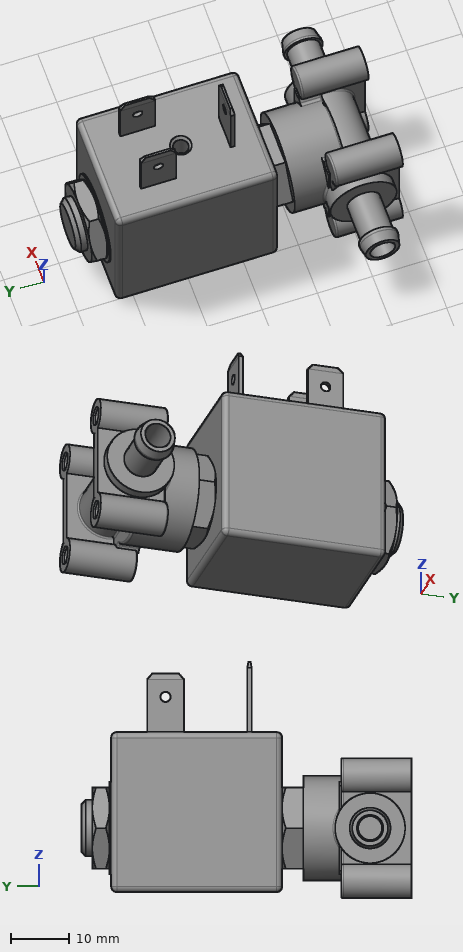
import cadquery as cq
import math

FRONT_Y = -7.15
TOTAL_LENGTH = 56.65
BACK_Y = FRONT_Y + TOTAL_LENGTH

BOSS_R = 3.0
BOSS_PITCH = 18.0
BOSS_BACK_Y = 5.0
WEB_WIDTH = 2.15
TUBE_R = 5.0
FLANGE_R = 6.0
FLANGE_BLEND_R = 0.4
CAP_R = 9.0
CAP_FRONT_Y = 1.3
CAP_BACK_Y = 11.45
CAP_RIM_R = 0.4
GUSSET_HALF_WIDTH = 0.9
GUSSET_REACH = 10.3
GUSSET_BACK_Y = 5.3
GUSSET_BLEND_R = 0.5
TUBE_BLEND_R = 0.3
BOSS_BACK_EDGE_R = 0.35
BOSS_HOLE_R = 1.3
BOSS_HOLE_MOUTH_R = 1.6
BOSS_HOLE_DEPTH = 5.65

BARB_SPAN = 44.0
BARB_END_X = BARB_SPAN / 2
BARB_PIPE_R = 3.0
BARB_R = 3.5
BARB_TIP_R = 3.05
BARB_TAPER = 1.85
BARB_LAND = 0.55
BORE_FLOOR_R = 2.05
BORE_MOUTH_R = 2.25
BORE_DEPTH = 13.6

COIL_WIDTH = 22.0
COIL_BOTTOM_Z = -11.0
COIL_TOP_Z = 16.5
COIL_FRONT_Y = 15.05
COIL_BACK_Y = 44.4
COIL_EDGE_R = 1.0
SCREW_Y = 29.0
SCREW_HOLE_R = 1.35
SCREW_MOUTH_R = 1.85
SCREW_DEPTH = 5.1

NUT_FLATS = 14.0
NUT_CORNER_R = NUT_FLATS / math.sqrt(3)
NUT_CHAMFER_R = 7.0
NUT_CHAMFER_ANGLE = math.radians(30)
WASHER_R = 7.95
WASHER_THICKNESS = 0.3
BACK_NUT_END_Y = 47.6
STEM_R = 4.9
STEM_CHAMFER = 0.8

BLADE_WIDTH = 6.35
BLADE_TIP_WIDTH = 4.55
BLADE_THICKNESS = 0.8
BLADE_TIP_THICKNESS = 0.4
BLADE_TAPER = 1.0
BLADE_HOLE_R = 0.85
BLADE_HOLE_DROP = 4.0
GROUND_BLADE_HEIGHT = 12.0
GROUND_BLADE_Y = 20.7
POWER_BLADE_HEIGHT = 10.0
POWER_BLADE_X = 5.45
POWER_BLADE_Y = 35.05
BLADE_EMBED = 0.55

DRILL_HALF_ANGLE = math.radians(59)
TOLERANCE = 0.005


def cylinder_y(radius, start_y, end_y, x=0, z=0):
    """Cylinder along Y between two Y positions."""
    length = end_y - start_y
    return cq.Workplane(cq.Solid.makeCylinder(radius, length, cq.Vector(x, start_y, z), cq.Vector(0, 1, 0)))


def cylinder_x(radius, start_x, end_x):
    """Cylinder on the flow axis between two X positions."""
    length = end_x - start_x
    return cq.Workplane(cq.Solid.makeCylinder(radius, length, cq.Vector(start_x, 0, 0), cq.Vector(1, 0, 0)))


def drilled_hole(radius, mouth_radius, depth):
    """Cutter for a blind hole down -Z from the origin, with a 45 degree mouth and a drill-point bottom."""
    mouth_depth = mouth_radius - radius
    tip_depth = depth + radius / math.tan(DRILL_HALF_ANGLE)
    profile = [
        (0, 0),
        (mouth_radius, 0),
        (radius, -mouth_depth),
        (radius, -depth),
        (0, -tip_depth),
    ]
    return cq.Workplane("XZ").polyline(profile).close().revolve(360, (0, 0), (0, 1))


def is_near(value, target):
    return abs(value - target) < TOLERANCE


def filleted(body, edges, radius):
    return body.newObject(edges).fillet(radius)


def cap_with_gussets():
    """Round cap facing the coil, with gussets reaching into the four bosses, with a rounded front rim."""
    half_pitch = BOSS_PITCH / 2
    depth = GUSSET_BACK_Y - CAP_FRONT_Y
    offset = GUSSET_HALF_WIDTH / math.sqrt(2)
    end = GUSSET_REACH / math.sqrt(2)
    outline = [
        (0, 0),
        (half_pitch, 0),
        (half_pitch, end),
        (end, end),
        (end - offset, end + offset),
        (-offset, offset),
    ]
    gusset = cq.Workplane("XZ", origin=(0, GUSSET_BACK_Y, 0)).polyline(outline).close().extrude(depth)
    pair = gusset.union(gusset.mirror("XY"))
    cap = cylinder_y(CAP_R, CAP_FRONT_Y, CAP_BACK_Y).union(pair).union(pair.mirror("YZ"))
    corners = [
        edge
        for edge in cap.edges("|Y").vals()
        if is_near(math.hypot(edge.Center().x, edge.Center().z), CAP_R)
        and abs(edge.Center().x) > offset
    ]
    cap = filleted(cap, corners, GUSSET_BLEND_R)
    rim = [edge for edge in cap.faces("<Y").edges().vals() if abs(edge.Center().x) < end - offset]
    return filleted(cap, rim, CAP_RIM_R)


def boss_frame():
    """Two upright webs, each with a screw boss at both ends; the back ends of the bosses are rounded."""
    half_pitch = BOSS_PITCH / 2
    depth = BOSS_BACK_Y - FRONT_Y
    web = cq.Workplane("XY").box(WEB_WIDTH, depth, BOSS_PITCH).translate((0, FRONT_Y + depth / 2, 0))
    for z in (-half_pitch, half_pitch):
        web = web.union(cylinder_y(BOSS_R, FRONT_Y, BOSS_BACK_Y, 0, z))
    web = web.faces(">Y").edges().fillet(BOSS_BACK_EDGE_R)
    return web.translate((-half_pitch, 0, 0)).union(web.translate((half_pitch, 0, 0)))


def valve_body():
    """Cap, webs and flow tube, with small blends where the tube meets the webs and the cap."""
    half_pitch = BOSS_PITCH / 2
    body = cap_with_gussets().union(boss_frame())
    body = body.union(cylinder_x(TUBE_R, -half_pitch, half_pitch))
    web_inner_x = half_pitch - WEB_WIDTH / 2
    web_joints = [
        edge
        for edge in body.edges("%CIRCLE").vals()
        if edge.BoundingBox().xlen < TOLERANCE and is_near(abs(edge.Center().x), web_inner_x)
    ]
    cap_joint_z = math.sqrt(TUBE_R**2 - CAP_FRONT_Y**2)
    cap_joints = [
        edge
        for edge in body.edges("|X").vals()
        if is_near(edge.Center().y, CAP_FRONT_Y) and is_near(abs(edge.Center().z), cap_joint_z)
    ]
    return filleted(body, web_joints + cap_joints, TUBE_BLEND_R)


def flanges():
    """Round collars behind the barbs, each running from the web's inner face to the bosses' outer side."""
    inner_x = BOSS_PITCH / 2 - WEB_WIDTH / 2
    outer_x = BOSS_PITCH / 2 + BOSS_R
    return cylinder_x(FLANGE_R, inner_x, outer_x).union(cylinder_x(FLANGE_R, -outer_x, -inner_x))


def boss_hole_cutters():
    """One cutter per boss, entering from the front."""
    hole = drilled_hole(BOSS_HOLE_R, BOSS_HOLE_MOUTH_R, BOSS_HOLE_DEPTH)
    hole = hole.rotate((0, 0, 0), (1, 0, 0), 90)
    half_pitch = BOSS_PITCH / 2
    centers = [(x, z) for x in (-half_pitch, half_pitch) for z in (-half_pitch, half_pitch)]
    return [hole.translate((x, FRONT_Y, z)) for x, z in centers]


def hose_barb():
    """Solid barb on +X: plain pipe, narrow land, then a taper to the open end."""
    taper_x = BARB_END_X - BARB_TAPER
    land_x = taper_x - BARB_LAND
    profile = [
        (BOSS_PITCH / 2, 0),
        (BOSS_PITCH / 2, BARB_PIPE_R),
        (land_x, BARB_PIPE_R),
        (land_x, BARB_R),
        (taper_x, BARB_R),
        (BARB_END_X, BARB_TIP_R),
        (BARB_END_X, 0),
    ]
    return cq.Workplane("XY").polyline(profile).close().revolve(360, (0, 0), (1, 0))


def barb_bore():
    """Cutter for the slightly drafted, flat-bottomed bore of the +X barb."""
    floor_x = BARB_END_X - BORE_DEPTH
    profile = [
        (floor_x, 0),
        (floor_x, BORE_FLOOR_R),
        (BARB_END_X, BORE_MOUTH_R),
        (BARB_END_X, 0),
    ]
    return cq.Workplane("XY").polyline(profile).close().revolve(360, (0, 0), (1, 0))


def coil():
    depth = COIL_BACK_Y - COIL_FRONT_Y
    height = COIL_TOP_Z - COIL_BOTTOM_Z
    block = cq.Workplane("XY").box(COIL_WIDTH, depth, height).edges().fillet(COIL_EDGE_R)
    block = block.translate((0, COIL_FRONT_Y + depth / 2, COIL_BOTTOM_Z + height / 2))
    screw_hole = drilled_hole(SCREW_HOLE_R, SCREW_MOUTH_R, SCREW_DEPTH)
    return block.cut(screw_hole.translate((0, SCREW_Y, COIL_TOP_Z)))


def nut(start_y, end_y, chamfer_start, chamfer_end):
    """Hexagonal nut on the coil axis with corners on +X and -X and chosen ends chamfered."""
    length = end_y - start_y
    inset = NUT_CORNER_R - NUT_CHAMFER_R
    drop = inset * math.tan(NUT_CHAMFER_ANGLE)
    hexagon = cq.Workplane("XZ", origin=(0, end_y, 0)).polygon(6, 2 * NUT_CORNER_R).extrude(length)
    blank = cylinder_y(NUT_CORNER_R, start_y, end_y)
    if chamfer_start:
        blank = blank.faces("<Y").chamfer(drop, inset)
    if chamfer_end:
        blank = blank.faces(">Y").chamfer(drop, inset)
    return hexagon.intersect(blank)


def coil_axis_hardware():
    washer_back_y = COIL_BACK_Y + WASHER_THICKNESS
    front_nut = nut(CAP_BACK_Y, COIL_FRONT_Y, False, True)
    back_nut = nut(washer_back_y, BACK_NUT_END_Y, True, True)
    washer = cylinder_y(WASHER_R, COIL_BACK_Y, washer_back_y)
    stem = cylinder_y(STEM_R, COIL_BACK_Y, BACK_Y).faces(">Y").chamfer(STEM_CHAMFER)
    return front_nut.union(washer).union(back_nut).union(stem)


def tapered_strip(plane, width, tip_width, height, depth):
    """Strip standing on Z = 0 whose width narrows near the top."""
    profile = [
        (-width / 2, -BLADE_EMBED),
        (width / 2, -BLADE_EMBED),
        (width / 2, height - BLADE_TAPER),
        (tip_width / 2, height),
        (-tip_width / 2, height),
        (-width / 2, height - BLADE_TAPER),
    ]
    return cq.Workplane(plane).polyline(profile).close().extrude(depth / 2, both=True)


def terminal(height):
    """Spade terminal spread along X, tapered at the tip in width and thickness, with a round hole."""
    face = tapered_strip("XZ", BLADE_WIDTH, BLADE_TIP_WIDTH, height, BLADE_THICKNESS)
    side = tapered_strip("YZ", BLADE_THICKNESS, BLADE_TIP_THICKNESS, height, BLADE_WIDTH)
    hole = cylinder_y(BLADE_HOLE_R, -BLADE_THICKNESS, BLADE_THICKNESS, 0, height - BLADE_HOLE_DROP)
    return face.intersect(side).cut(hole)


def terminals():
    ground = terminal(GROUND_BLADE_HEIGHT).translate((0, GROUND_BLADE_Y, COIL_TOP_Z))
    power = terminal(POWER_BLADE_HEIGHT).rotate((0, 0, 0), (0, 0, 1), 90)
    blades = ground
    for x in (-POWER_BLADE_X, POWER_BLADE_X):
        blades = blades.union(power.translate((x, POWER_BLADE_Y, COIL_TOP_Z)))
    return blades


def body_with_flanges():
    """Valve body with its flanges, blended where the flanges run into the round cap."""
    body = valve_body().union(flanges())
    joints = [
        edge
        for edge in body.edges("%BSPLINE").vals()
        if is_near(edge.Center().z, 0) and is_near(edge.BoundingBox().ymax, FLANGE_R)
    ]
    return filleted(body, joints, FLANGE_BLEND_R)


barb = hose_barb()
bore = barb_bore()
body = body_with_flanges().union(barb).union(barb.mirror("YZ"))
body = body.cut(bore).cut(bore.mirror("YZ"))
for boss_hole in boss_hole_cutters():
    body = body.cut(boss_hole)

result = body.union(coil_axis_hardware()).union(coil()).union(terminals())